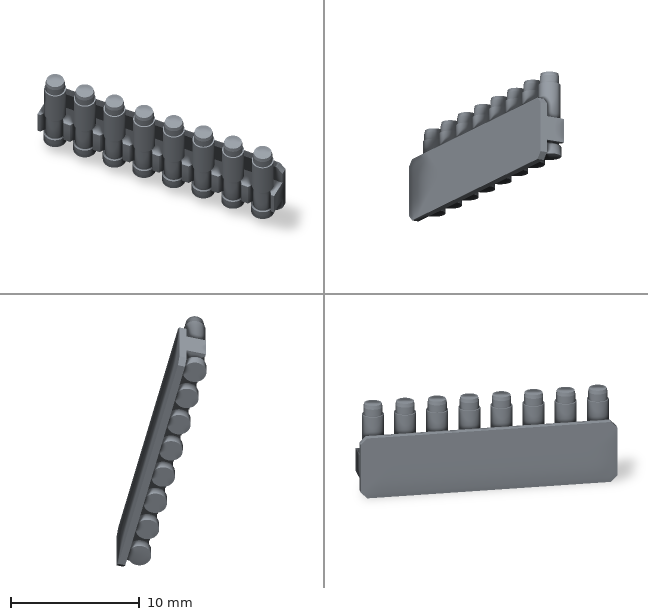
import cadquery as cq
import math

LENGTH = 20.27
PLATE_HEIGHT = 4.97
PLATE_THICKNESS = 0.57
CORNER_CHAMFER = 0.5
BAR_BOTTOM = 1.52
BAR_TOP = 3.43
BAR_DEPTH = 2.1

PIN_COUNT = 8
ROW_SPAN = 17.78
PITCH = ROW_SPAN / (PIN_COUNT - 1)
COLLAR_RADIUS = 0.91
SHANK_RADIUS = 0.75
BARREL_RADIUS = 0.85
TIP_RADIUS = 0.75
TIP_CHAMFER_WIDTH = 0.06
COLLAR_BOTTOM = 0.6
COLLAR_TOP = 1.4
BARREL_BOTTOM = 3.55
BARREL_TOP = 6.4
TIP_CHAMFER_BOTTOM = 7.01
PIN_TOP = 7.3
OVERALL_DEPTH = 2.43

MOUTH_WIDTH = 1.97
MOUTH_RADIUS = 1.05

PIN_Y = COLLAR_RADIUS - OVERALL_DEPTH
BAR_FRONT_Y = -BAR_DEPTH
BAR_HEIGHT = BAR_TOP - BAR_BOTTOM
PIN_POSITIONS = [-ROW_SPAN / 2 + i * PITCH for i in range(PIN_COUNT)]


def make_plate():
    plate = cq.Workplane("XY").box(LENGTH, PLATE_THICKNESS, PLATE_HEIGHT, centered=(True, False, False))
    plate = plate.translate((0, -PLATE_THICKNESS, 0))
    return plate.edges("|Y").chamfer(CORNER_CHAMFER)


def make_bar():
    bar = cq.Workplane("XY").box(LENGTH, BAR_DEPTH, BAR_HEIGHT, centered=(True, False, False))
    return bar.translate((0, BAR_FRONT_Y, BAR_BOTTOM))


def make_groove(x):
    """Round seat for a shank, opening to the front through a wider round mouth."""
    mouth_offset = math.sqrt(MOUTH_RADIUS**2 - (MOUTH_WIDTH / 2) ** 2)
    mouth_y = BAR_FRONT_Y - mouth_offset
    seat = cq.Workplane("XY", origin=(x, PIN_Y, BAR_BOTTOM)).circle(SHANK_RADIUS).extrude(BAR_HEIGHT)
    mouth = cq.Workplane("XY", origin=(x, mouth_y, BAR_BOTTOM)).circle(MOUTH_RADIUS).extrude(BAR_HEIGHT)
    return seat.union(mouth)


def make_carrier():
    carrier = make_plate().union(make_bar())
    for x in PIN_POSITIONS:
        carrier = carrier.cut(make_groove(x))
    return carrier


def make_pin(x):
    """Half section in radius and height, revolved about the pin axis."""
    profile = [
        (0, COLLAR_BOTTOM),
        (COLLAR_RADIUS, COLLAR_BOTTOM),
        (COLLAR_RADIUS, COLLAR_TOP),
        (SHANK_RADIUS, COLLAR_TOP),
        (SHANK_RADIUS, BARREL_BOTTOM),
        (BARREL_RADIUS, BARREL_BOTTOM),
        (BARREL_RADIUS, BARREL_TOP),
        (TIP_RADIUS, BARREL_TOP),
        (TIP_RADIUS, TIP_CHAMFER_BOTTOM),
        (TIP_RADIUS - TIP_CHAMFER_WIDTH, PIN_TOP),
        (0, PIN_TOP),
    ]
    section = cq.Workplane("XZ").polyline(profile).close()
    return section.revolve(360, (0, 0), (0, 1)).translate((x, PIN_Y, 0))


carrier = make_carrier()
pins = [make_pin(x) for x in PIN_POSITIONS]

result = cq.Compound.makeCompound([carrier.val(), *[pin.val() for pin in pins]])